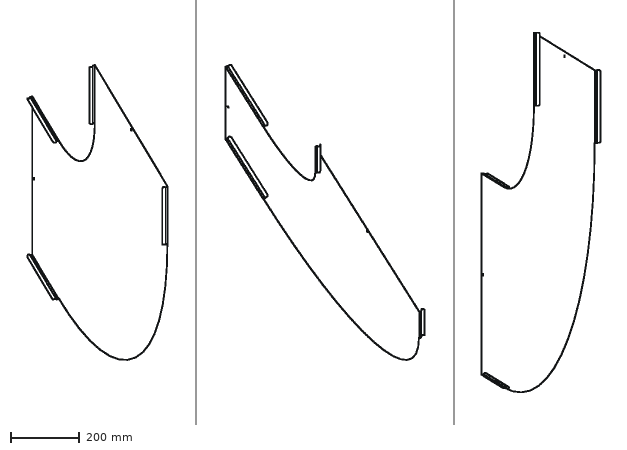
import cadquery as cq
import math

overall_size = 1118
overall_depth = 18.0
sheet = 1.0
leg_length = 218.0
inner_radius = 299.0
edge_step = 3.0

wall_depth = 7.0
fold_depth = 11.0
fold_inset = 7.0
lip_inset = 0.6
bend_radius = 2.0
lip_corner = 3.0

hole_diameter = 6.0
hole_from_end = 15.0

outer_edge = overall_size - leg_length
outer_radius = outer_edge - edge_step
hole_across = (inner_radius + outer_edge) / 2


def mirror_to_other_leg(body):
    """Copy a feature of the upright leg onto the level leg: (X, Z) becomes (-Z, -X)."""
    return body.mirror(cq.Vector(1, 0, 1), (0, 0, 0))


def make_plate():
    diagonal = math.sqrt(0.5)
    return (
        cq.Workplane("XZ")
        .moveTo(inner_radius, leg_length)
        .lineTo(outer_radius, leg_length)
        .lineTo(outer_radius, 0)
        .threePointArc((outer_radius * diagonal, -outer_radius * diagonal), (0, -outer_radius))
        .lineTo(-leg_length, -outer_radius)
        .lineTo(-leg_length, -inner_radius)
        .lineTo(0, -inner_radius)
        .threePointArc((inner_radius * diagonal, -inner_radius * diagonal), (inner_radius, 0))
        .close()
        .extrude(sheet)
    )


def cut_lip_corner(flange, end_z, into_flange):
    """Cut the lip corner at one end; into_flange is the Z direction towards the flange middle."""
    corner = (
        cq.Workplane("YZ")
        .moveTo(-overall_depth, end_z)
        .lineTo(-overall_depth, end_z + into_flange * lip_corner)
        .lineTo(-overall_depth + lip_corner, end_z)
        .close()
        .extrude(overall_size)
    )
    return flange.cut(corner)


def make_flange(edge_x, inward):
    """Folded flange along the upright leg; inward is the X direction towards the plate middle."""
    def at(inset, depth):
        return (edge_x + inward * inset, -depth)

    crease_outside = at(fold_inset, fold_depth)
    crease_inside = at(fold_inset - sheet, fold_depth)
    root_inset = edge_step + sheet
    section = [
        at(0, 0),
        at(0, wall_depth),
        crease_inside,
        at(lip_inset, overall_depth),
        at(lip_inset + sheet, overall_depth),
        crease_outside,
        at(sheet, wall_depth),
        at(sheet, sheet),
        at(root_inset, sheet),
        at(root_inset, 0),
    ]
    flange = cq.Workplane("XY").polyline(section).close().extrude(leg_length)

    for crease, radius in ((crease_inside, bend_radius), (crease_outside, bend_radius + sheet)):
        crease_middle = (*crease, leg_length / 2)
        crease_edge = cq.selectors.NearestToPointSelector(crease_middle)
        flange = flange.edges(crease_edge).fillet(radius)

    flange = cut_lip_corner(flange, 0, 1)
    return cut_lip_corner(flange, leg_length, -1)


def make_hole():
    return (
        cq.Workplane("XZ")
        .center(hole_across, leg_length - hole_from_end)
        .circle(hole_diameter / 2)
        .extrude(sheet)
    )


result = make_plate()
for flange in (make_flange(inner_radius, 1), make_flange(outer_edge, -1)):
    result = result.union(flange).union(mirror_to_other_leg(flange))

hole = make_hole()
result = result.cut(hole).cut(mirror_to_other_leg(hole))